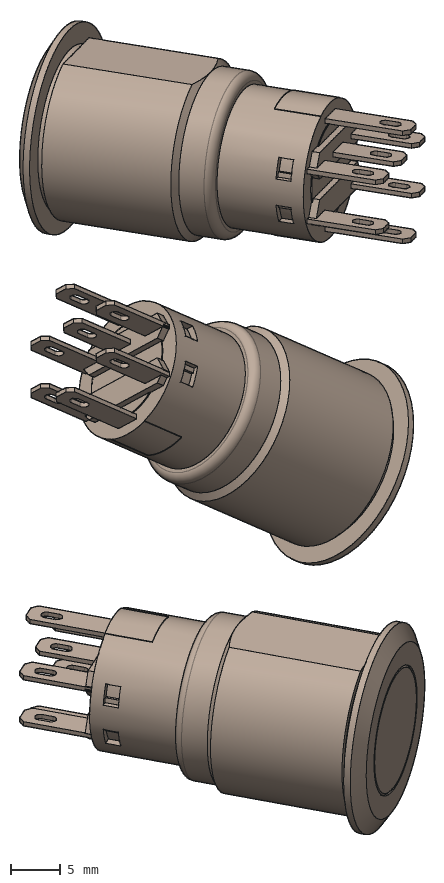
import cadquery as cq
import math

total_length = 39.6
bezel_bevel_end = 1.1
bezel_back = 1.82
thread_start = 2.55
thread_end = 16.7
thread_bevel_end = 17.3
sleeve_end = 21.0
carrier_end = 30.45

bezel_face_radius = 9.23
bezel_radius = 22.0 / 2
sleeve_radius = 17.5 / 2
thread_radius = 18.93 / 2
carrier_radius = 14.9 / 2
sleeve_rounding = 0.9

button_radius = 13.6 / 2
button_bevel = 0.25

flat_height = sleeve_radius

key_radius = 15.0 / 2
key_start = 25.35
key_width = 5.15

window_start = 27.4
window_length = 1.62
window_low = 1.45
window_step = 1.98
window_high = 3.55
window_shallow_radius = 6.93
window_deep_radius = 6.7

pad_radius = 5.4
pad_thickness = 0.1
block_length = 0.85
block_height = 2.95
block_point_drop = 1.75
block_half_width = 5.23
block_half_width_at_point = 6.18
block_offset_y = 0.25
block_tops = (4.08, -1.15)

lug_width = 2.77
lug_thickness = 0.5
lug_corner = 0.65
lug_embed = 1.98
lug_slot_length = 2.25
lug_slot_width = 1.05
lug_slot_from_tip = 2.55
lug_pitch_y = 5.0
short_lug_tip = total_length - 1.03
outer_lug_z = 6.0
upper_lug_z = 2.4
lower_lug_z = -3.13


def disc(radius, x_start, x_end):
    """Cylinder on the X axis between two stations."""
    return cq.Workplane("YZ", origin=(x_start, 0, 0)).circle(radius).extrude(x_end - x_start)


def box(x_start, x_end, y_start, y_end, z_start, z_end):
    """Box given by its limits on each axis."""
    size = (x_end - x_start, y_end - y_start, z_end - z_start)
    return cq.Workplane("XY").box(*size, centered=False).translate((x_start, y_start, z_start))


def housing():
    """Bezel, neck, thread, sleeve and carrier as one turned body."""
    arc_x = sleeve_end - sleeve_rounding * (1 - math.sqrt(0.5))
    arc_radius = sleeve_radius - sleeve_rounding * (1 - math.sqrt(0.5))
    return (
        cq.Workplane("XY")
        .moveTo(0, 0)
        .lineTo(0, button_radius - button_bevel)
        .lineTo(button_bevel, button_radius)
        .lineTo(0, button_radius)
        .lineTo(0, bezel_face_radius)
        .lineTo(bezel_bevel_end, bezel_radius)
        .lineTo(bezel_back, bezel_radius)
        .lineTo(bezel_back, sleeve_radius)
        .lineTo(thread_start, sleeve_radius)
        .lineTo(thread_start, thread_radius)
        .lineTo(thread_end, thread_radius)
        .lineTo(thread_bevel_end, sleeve_radius)
        .lineTo(sleeve_end - sleeve_rounding, sleeve_radius)
        .threePointArc((arc_x, arc_radius), (sleeve_end, sleeve_radius - sleeve_rounding))
        .lineTo(sleeve_end, carrier_radius)
        .lineTo(carrier_end, carrier_radius)
        .lineTo(carrier_end, 0)
        .close()
        .revolve(360, (0, 0, 0), (1, 0, 0))
    )


def thread_flat():
    """Material removed above the flat on the thread."""
    return box(thread_start, thread_bevel_end, -thread_radius, thread_radius, flat_height, thread_radius)


def keys():
    """Slightly raised keys at the top and bottom of the carrier."""
    strip = box(key_start, carrier_end, -key_width / 2, key_width / 2, -key_radius, key_radius)
    return disc(key_radius, key_start, carrier_end).intersect(strip)


def window_cut(z_start, z_end, floor_radius):
    """Pockets through both sides of the carrier, down to a round floor."""
    window_end = window_start + window_length
    band = box(window_start, window_end, -bezel_radius, bezel_radius, z_start, z_end)
    return band.cut(disc(floor_radius, window_start, window_end))


def windows():
    """Stepped pockets above the mid plane, mirrored below it."""
    upper = window_cut(window_low, window_high, window_shallow_radius)
    upper = upper.union(window_cut(window_step, window_high, window_deep_radius))
    return upper.union(upper.mirror("XY"))


def lug_block(top):
    """Rear block whose two ends come to a blunt point."""
    point_z = top - block_point_drop
    bottom = top - block_height
    outline = [
        (-block_half_width, top),
        (block_half_width, top),
        (block_half_width_at_point, point_z),
        (block_half_width, bottom),
        (-block_half_width, bottom),
        (-block_half_width_at_point, point_z),
    ]
    plane = cq.Workplane("YZ", origin=(carrier_end, block_offset_y, 0))
    return plane.polyline(outline).close().extrude(block_length)


def lug(tip, y, z):
    """Flat lug with cut corners and a wire slot, rooted inside the carrier."""
    start = carrier_end - lug_embed
    bottom = z - lug_thickness / 2
    blade = box(start, tip, y - lug_width / 2, y + lug_width / 2, bottom, bottom + lug_thickness)
    blade = blade.edges("|Z and >X").chamfer(lug_corner)
    slot = (
        cq.Workplane("XY", origin=(tip - lug_slot_from_tip, y, bottom))
        .slot2D(lug_slot_length, lug_slot_width)
        .extrude(lug_thickness)
    )
    return blade.cut(slot)


lug_places = [
    (total_length, 0, outer_lug_z),
    (total_length, 0, -outer_lug_z),
    (short_lug_tip, 0, upper_lug_z),
]
for side in (-1, 1):
    for row_z in (upper_lug_z, lower_lug_z):
        lug_places.append((short_lug_tip, side * lug_pitch_y, row_z))

result = housing().cut(thread_flat()).union(keys())
result = result.union(disc(pad_radius, carrier_end, carrier_end + pad_thickness))
for block_top in block_tops:
    result = result.union(lug_block(block_top))
for tip, y, z in lug_places:
    result = result.union(lug(tip, y, z))

result = result.cut(windows())